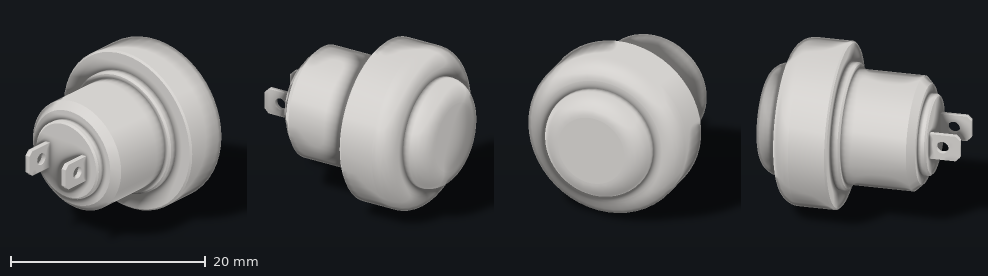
import cadquery as cq


button_diameter = 11.8
button_height = 2.5
button_round = 2.2
bezel_diameter = 17.5
bezel_length = 6.0
bezel_round = 2.0

collar_diameter = 13.3
collar_length = 0.9
body_diameter = 12.0
body_length = 7.67
body_chamfer = 0.78
boss_diameter = 8.5
boss_length = 0.9
edge_chamfer = 0.2

terminal_thickness = 0.53
terminal_width = 2.8
terminal_spacing = 4.92
terminal_chamfer = 0.47
terminal_hole_diameter = 1.3
hole_to_tip = 1.87
overall_length = 21.2

body_start = -collar_length
boss_start = body_start - body_length
terminal_start = boss_start - boss_length
terminal_tip = bezel_length + button_height - overall_length
terminal_length = terminal_start - terminal_tip


def cylinder(diameter, front, length):
    """Cylinder on the Y axis, running from y = front toward -Y."""
    return cq.Workplane("XZ", origin=(0, front, 0)).circle(diameter / 2).extrude(length)


def terminal(x):
    """Flat tab with a clipped tip and a cross hole, centred on x."""
    tab = (
        cq.Workplane("XY")
        .box(terminal_thickness, terminal_length, terminal_width)
        .translate((x, terminal_start - terminal_length / 2, 0))
        .faces("<Y").edges("|X").chamfer(terminal_chamfer)
    )
    hole = (
        cq.Workplane("YZ", origin=(x, terminal_tip + hole_to_tip, 0))
        .circle(terminal_hole_diameter / 2)
        .extrude(terminal_thickness, both=True)
    )
    return tab.cut(hole)


button = cylinder(button_diameter, bezel_length + button_height, button_height)
button = button.faces(">Y").edges().fillet(button_round)

bezel = cylinder(bezel_diameter, bezel_length, bezel_length)
bezel = bezel.faces(">Y").edges().fillet(bezel_round)
bezel = bezel.faces("<Y").edges().chamfer(edge_chamfer)

collar = cylinder(collar_diameter, 0, collar_length)
collar = collar.faces("<Y").edges().chamfer(edge_chamfer)

body = cylinder(body_diameter, body_start, body_length)
body = body.faces("<Y").edges().chamfer(body_chamfer)

boss = cylinder(boss_diameter, boss_start, boss_length)
boss = boss.faces("<Y").edges().chamfer(edge_chamfer)

result = bezel.union(button).union(collar).union(body).union(boss)
for side in (-1, 1):
    result = result.union(terminal(side * terminal_spacing / 2))